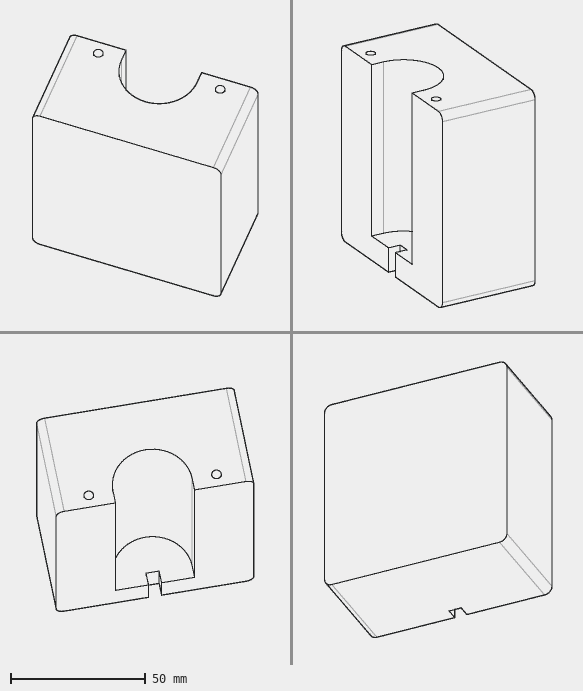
import cadquery as cq

width = 75.0
depth = 40.0
height = 80.0
corner_radius = 3.0

recess_width = 30.0
recess_reach = 20.0
recess_floor_thickness = 10.0

slot_width = 5.0
slot_reach = 5.0

hole_diameter = 3.6
hole_spacing = 48.5
hole_inset = 5.0
hole_depth = 10.0


def make_block():
    """Block with its four lengthwise (Y) edges rounded."""
    block = cq.Workplane("XY").box(width, depth, height, centered=(True, False, False))
    return block.translate((0, -depth, 0)).edges("|Y").fillet(corner_radius)


def make_recess():
    """U-shaped cutter from the recess floor up through the top face."""
    half_width = recess_width / 2
    arc_start = -(recess_reach - half_width)
    return (
        cq.Workplane("XY", origin=(0, 0, recess_floor_thickness))
        .moveTo(-half_width, 0)
        .lineTo(-half_width, arc_start)
        .threePointArc((0, -recess_reach), (half_width, arc_start))
        .lineTo(half_width, 0)
        .close()
        .extrude(height - recess_floor_thickness)
    )


def make_slot():
    """Rectangular cutter through the full height at the back face."""
    slot = cq.Workplane("XY").box(slot_width, slot_reach, height, centered=(True, False, False))
    return slot.translate((0, -slot_reach, 0))


def make_holes():
    """Pair of cylinders sunk from the top face."""
    return (
        cq.Workplane("XY", origin=(0, -hole_inset, height))
        .pushPoints([(-hole_spacing / 2, 0), (hole_spacing / 2, 0)])
        .circle(hole_diameter / 2)
        .extrude(-hole_depth)
    )


result = make_block().cut(make_recess()).cut(make_slot()).cut(make_holes())